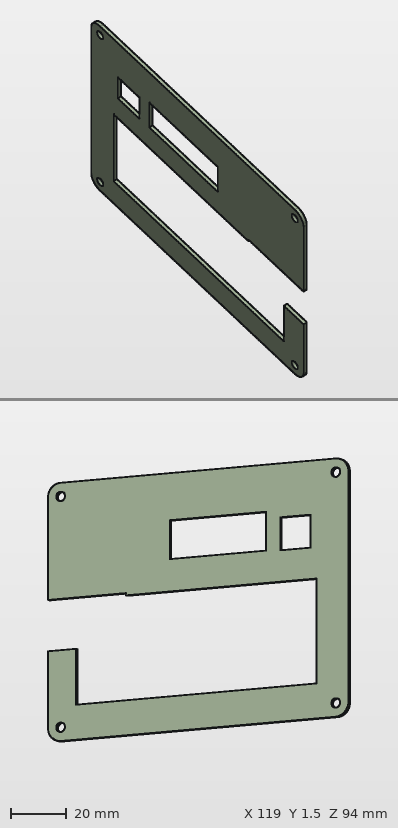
import cadquery as cq

width = 119.0
height = 94.0
thickness = 1.5
corner_radius = 5.0
hole_diameter = 3.5

square_side = 12.0
square_left = 15.0
square_bottom = 62.4

display_width = 38.2
display_height = 14.2
display_left = 32.6
display_bottom = 62.7

main_width = 95.3
main_height = 38.2
main_left = 12.6
main_bottom = 12.7

gap_left = 88.2
gap_bottom = 33.1
gap_top = 51.8


def opening(left, bottom, opening_width, opening_height):
    """Rectangular cutter through the full plate thickness."""
    return (
        cq.Workplane("XY")
        .box(opening_width, thickness, opening_height, centered=(False, True, False))
        .translate((left - width / 2, 0, bottom - height / 2))
    )


plate = cq.Workplane("XY").box(width, thickness, height).edges("|Y").fillet(corner_radius)

holes = (
    cq.Workplane("XZ")
    .rect(width - 2 * corner_radius, height - 2 * corner_radius, forConstruction=True)
    .vertices()
    .circle(hole_diameter / 2)
    .extrude(thickness / 2, both=True)
)

result = (
    plate.cut(holes)
    .cut(opening(square_left, square_bottom, square_side, square_side))
    .cut(opening(display_left, display_bottom, display_width, display_height))
    .cut(opening(main_left, main_bottom, main_width, main_height))
    .cut(opening(gap_left, gap_bottom, width - gap_left, gap_top - gap_bottom))
)